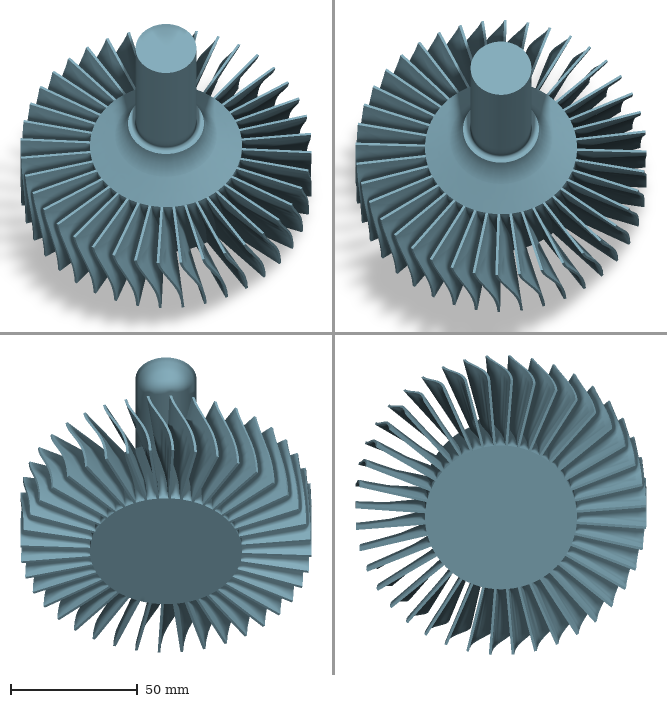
import cadquery as cq

rim_diameter = 115.0
total_height = 95.0
blade_height = 30.0
blade_count = 40
blade_thickness = 1.0

shaft_diameter = 24.0
foot_fillet = 0.6

hub_diameter = 60.0
collar_diameter = 30.0
collar_top = 45.0
flare_diameter = 40.0
flare_bottom = 36.7

blade_turns = [(0, 9.9), (7.7, 9), (13.0, 7.4), (20.8, 3.7), (blade_height, 0)]
root_overlap = 1.2
tip_allowance = 1.2

rim_radius = rim_diameter / 2
hub_radius = hub_diameter / 2
shaft_radius = shaft_diameter / 2
axis = (cq.Vector(0, 0, 0), cq.Vector(0, 0, 1))


def make_hub():
    """Turned body: drum, cone, concave flare, filleted foot and shaft."""
    profile = (
        cq.Workplane("XZ")
        .lineTo(hub_radius, 0)
        .lineTo(hub_radius, blade_height)
        .lineTo(flare_diameter / 2, flare_bottom)
        .tangentArcPoint((collar_diameter / 2, collar_top), relative=False)
        .lineTo(shaft_radius + foot_fillet, collar_top)
        .radiusArc((shaft_radius, collar_top + foot_fillet), foot_fillet)
        .lineTo(shaft_radius, total_height)
        .lineTo(0, total_height)
        .close()
    )
    return profile.revolve(360, (0, 0, 0), (0, 1, 0))


def blade_section(height, turn):
    """Radial strip across one blade at the given height, as a closed wire."""
    root = hub_radius - root_overlap
    half = blade_thickness / 2
    tip = rim_radius + tip_allowance
    corners = [(root, -half), (tip, -half), (tip, half), (root, half)]
    wire = cq.Wire.makePolygon([cq.Vector(x, y, height) for x, y in corners], close=True)
    return wire.rotate(*axis, turn)


def make_blade():
    """One curved blade, lofted through its turned sections and trimmed to the rim cylinder."""
    sections = [blade_section(height, turn) for height, turn in blade_turns]
    rim = cq.Solid.makeCylinder(rim_radius, blade_height)
    return cq.Solid.makeLoft(sections).intersect(rim)


blade = make_blade()
blades = [
    blade.rotate(*axis, 360 / blade_count * index)
    for index in range(blade_count)
]
body = make_hub().val().fuse(*blades)
result = cq.Workplane("XY").newObject([body])